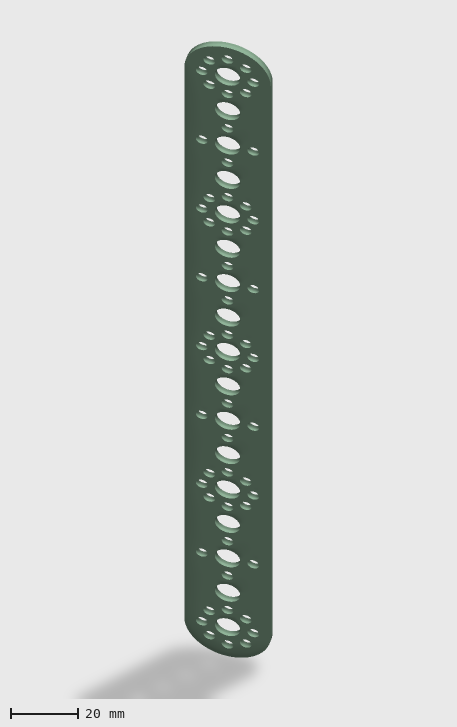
import cadquery as cq

length = 283.0
width = 27.0
thickness = 2.0
large_diameter = 8.0
small_diameter = 3.7

pitch_count = 16
cluster_step = 4
ring_hole_count = 8
pitch = (length - width) / pitch_count
ring_radius = pitch / 2
half_count = pitch_count // 2


def blank():
    return cq.Workplane("XZ").slot2D(length, width, 90).extrude(thickness / 2, both=True)


def through_holes(points, diameter):
    return (
        cq.Workplane("XZ")
        .pushPoints(points)
        .circle(diameter / 2)
        .extrude(thickness, both=True)
    )


def ring_holes(height):
    return (
        cq.Workplane("XZ")
        .center(0, height)
        .polarArray(ring_radius, 0, 360, ring_hole_count)
        .circle(small_diameter / 2)
        .extrude(thickness, both=True)
    )


stations = range(-half_count, half_count + 1)
large_points = [(0, i * pitch) for i in stations]

small_points = [
    (0, (i + 0.5) * pitch)
    for i in range(-half_count, half_count)
    if i % cluster_step not in (0, cluster_step - 1)
]

for i in stations:
    if i % cluster_step == cluster_step // 2:
        small_points += [(-ring_radius, i * pitch), (ring_radius, i * pitch)]

result = blank()
result = result.cut(through_holes(large_points, large_diameter))
result = result.cut(through_holes(small_points, small_diameter))

for i in range(-half_count, half_count + 1, cluster_step):
    result = result.cut(ring_holes(i * pitch))